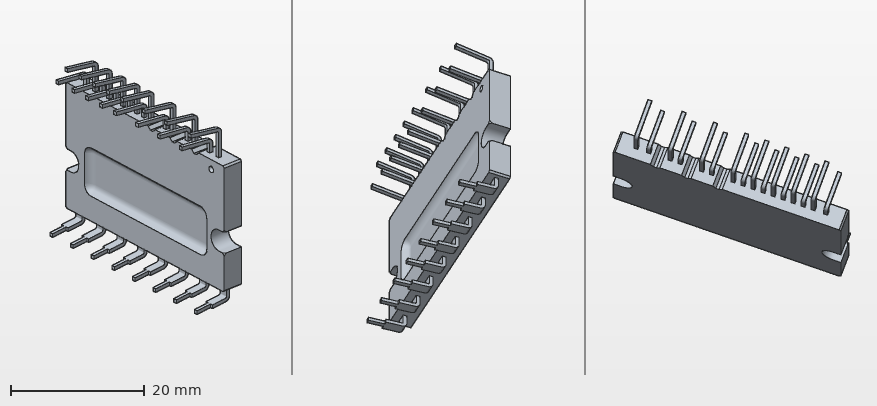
import cadquery as cq
import math

BODY_WIDTH = 36.3
BODY_DEPTH = 3.45
BODY_HEIGHT = 21.25
CORNER_CHAMFER = 0.3

SLOT_Z = 8.28
SLOT_WIDTH = 3.55
SLOT_LENGTH = 3.0
SLOT_CORNER_CUT = 0.4

RECESS_X = 0.18
RECESS_WIDTH = 27.95
RECESS_HEIGHT = 8.1
RECESS_DEPTH = 1.0
RECESS_BORDER = 1.45
RECESS_WALL_RADIUS = (RECESS_BORDER**2 + RECESS_DEPTH**2) / (2 * RECESS_DEPTH)

DIMPLE_X = 15.17
DIMPLE_DROP = 1.67
DIMPLE_RADIUS = 0.5

NOTCH_FIRST_X = 1.52
NOTCH_PITCH = 4.97
NOTCH_COUNT = 3
NOTCH_FLAT = 0.5
NOTCH_DEPTH = 0.5

LEAD_BACK_Y = 1.85
OVERALL_DEPTH = 7.7
LEAD_TIP_Y = BODY_DEPTH - OVERALL_DEPTH
LEAD_THICKNESS = 0.6
LEAD_WIDTH = 0.6
LEAD_EMBED = 1.1
BEND_RADIUS = 0.25
SHALLOW_ANGLE = 5.5

SHORT_REACH = 2.85
LONG_REACH = 5.77
LONG_ANGLE = 8.0
UPPER_PITCH = 1.6
UPPER_END_PITCH = 2.05
UPPER_GAP = 3.4
UPPER_FIRST_X = -15.15
UPPER_RUN = 8

LOWER_COUNT = 8
LOWER_PITCH = 4.72
LOWER_REACH = 2.83
ROOT_WIDTH = 1.5
ROOT_END_Y = -1.55


def make_body():
    body = (
        cq.Workplane("XY")
        .box(BODY_WIDTH, BODY_DEPTH, BODY_HEIGHT, centered=(True, False, False))
        .edges("|Y")
        .chamfer(CORNER_CHAMFER)
    )
    for side in (-1, 1):
        body = body.cut(make_slot(side))
        for edge in (-1, 1):
            body = body.cut(make_corner_cut(side, edge))
    for index in range(NOTCH_COUNT):
        body = body.cut(make_notch(NOTCH_FIRST_X + index * NOTCH_PITCH))
    dimple = cq.Workplane("XY").sphere(DIMPLE_RADIUS)
    dimple = dimple.translate((DIMPLE_X, 0, BODY_HEIGHT - DIMPLE_DROP))
    return body.cut(make_recess()).cut(dimple)


def make_slot(side):
    """Round-ended slot entering from one side (-1 left, 1 right)."""
    return (
        cq.Workplane("XZ")
        .center(side * BODY_WIDTH / 2, SLOT_Z)
        .slot2D(2 * SLOT_LENGTH, SLOT_WIDTH)
        .extrude(-BODY_DEPTH)
    )


def make_corner_cut(side, edge):
    """Three-sided pyramid that bevels one front corner at a slot mouth."""
    mouth = cq.Vector(side * BODY_WIDTH / 2, 0, SLOT_Z + edge * SLOT_WIDTH / 2)
    along_x = mouth + cq.Vector(-side * SLOT_CORNER_CUT, 0, 0)
    along_y = mouth + cq.Vector(0, SLOT_CORNER_CUT, 0)
    along_z = mouth + cq.Vector(0, 0, edge * SLOT_CORNER_CUT)
    triangles = (
        (mouth, along_x, along_y),
        (mouth, along_y, along_z),
        (mouth, along_z, along_x),
        (along_x, along_y, along_z),
    )
    faces = [cq.Face.makeFromWires(cq.Wire.makePolygon(points, close=True)) for points in triangles]
    return cq.Workplane(cq.Solid.makeSolid(cq.Shell.makeShell(faces)))


def make_recess():
    """Block with ball-rounded corners, sunk so that only its lower part enters the body."""
    overhang = RECESS_WALL_RADIUS - RECESS_BORDER
    return (
        cq.Workplane("XZ", origin=(RECESS_X, RECESS_DEPTH, SLOT_Z))
        .rect(RECESS_WIDTH + 2 * overhang, RECESS_HEIGHT + 2 * overhang)
        .extrude(2 * RECESS_WALL_RADIUS)
        .edges("|Y")
        .fillet(RECESS_WALL_RADIUS)
        .faces(">Y")
        .edges()
        .fillet(RECESS_WALL_RADIUS)
    )


def make_notch(x):
    """Flat-bottomed notch with 45 degree flanks, cut from front to back."""
    half_flat = NOTCH_FLAT / 2
    half_mouth = half_flat + NOTCH_DEPTH
    outline = [(-half_mouth, 0), (-half_flat, -NOTCH_DEPTH), (half_flat, -NOTCH_DEPTH), (half_mouth, 0)]
    return (
        cq.Workplane("XZ")
        .center(x, BODY_HEIGHT)
        .polyline(outline)
        .close()
        .extrude(-BODY_DEPTH)
    )


def make_lead(reach, angle, width):
    """Lead rising from Z = 0 to a bend, then sloping forward to its tip at Z = reach."""
    slope = math.tan(math.radians(angle))
    drop = LEAD_THICKNESS / math.cos(math.radians(angle))
    front_y = LEAD_BACK_Y - LEAD_THICKNESS
    outer_bend = (LEAD_BACK_Y, reach - slope * (LEAD_BACK_Y - LEAD_TIP_Y))
    inner_bend = (front_y, reach - drop - slope * (front_y - LEAD_TIP_Y))
    lead = (
        cq.Workplane("YZ")
        .moveTo(LEAD_BACK_Y, -LEAD_EMBED)
        .lineTo(*outer_bend)
        .lineTo(LEAD_TIP_Y, reach)
        .lineTo(LEAD_TIP_Y, reach - drop)
        .lineTo(*inner_bend)
        .lineTo(front_y, -LEAD_EMBED)
        .close()
        .extrude(width / 2, both=True)
    )
    lead = lead.edges(cq.NearestToPointSelector((0, *outer_bend))).fillet(BEND_RADIUS + LEAD_THICKNESS)
    return lead.edges(cq.NearestToPointSelector((0, *inner_bend))).fillet(BEND_RADIUS)


def make_lower_lead():
    """Wide lead narrowed ahead of its shoulder and turned to point down."""
    lead = make_lead(LOWER_REACH, SHALLOW_ANGLE, ROOT_WIDTH)
    trim_width = (ROOT_WIDTH - LEAD_WIDTH) / 2
    for side in (-1, 1):
        trim = cq.Workplane("XY").box(
            trim_width, ROOT_END_Y - LEAD_TIP_Y, LOWER_REACH, centered=(True, False, False)
        )
        lead = lead.cut(trim.translate((side * (LEAD_WIDTH + trim_width) / 2, LEAD_TIP_Y, 0)))
    return lead.mirror("XY")


def upper_positions():
    """X of each upper lead, left to right; short and long leads alternate."""
    steps = [UPPER_END_PITCH]
    steps += [UPPER_PITCH] * UPPER_RUN
    steps += [UPPER_GAP, UPPER_PITCH, UPPER_GAP, UPPER_PITCH, UPPER_GAP, UPPER_END_PITCH]
    positions = [UPPER_FIRST_X]
    for step in steps:
        positions.append(positions[-1] + step)
    return positions


result = make_body()

short_lead = make_lead(SHORT_REACH, SHALLOW_ANGLE, LEAD_WIDTH)
long_lead = make_lead(LONG_REACH, LONG_ANGLE, LEAD_WIDTH)
for index, x in enumerate(upper_positions()):
    upper_lead = short_lead if index % 2 == 0 else long_lead
    result = result.union(upper_lead.translate((x, 0, BODY_HEIGHT)))

lower_lead = make_lower_lead()
for index in range(LOWER_COUNT):
    x = (index - (LOWER_COUNT - 1) / 2) * LOWER_PITCH
    result = result.union(lower_lead.translate((x, 0, 0)))